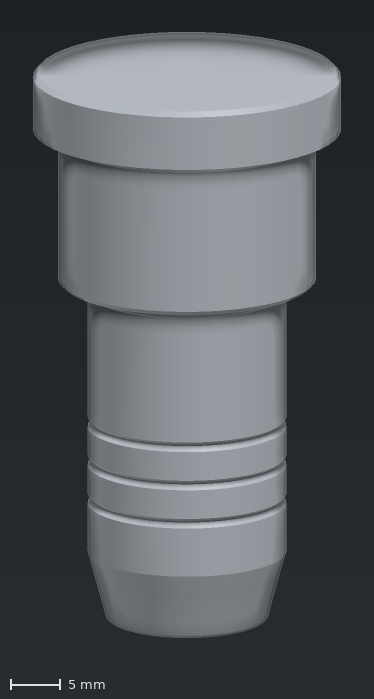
import cadquery as cq
import math

total_height = 57.0
edge_break = 0.5

head_radius = 31.0 / 2
head_height = 6.0

body_radius = 26.0 / 2
body_height = 16.0

neck_height = 1.0

shank_radius = 20.0 / 2
neck_radius = shank_radius - edge_break
groove_count = 3
groove_pitch = 4.0
first_groove_depth_from_top = 36.5
taper_height = 7.0
taper_angle = math.radians(15)
tip_radius = shank_radius - taper_height * math.tan(taper_angle)

head_bottom = total_height - head_height
body_bottom = head_bottom - body_height
neck_bottom = body_bottom - neck_height
first_groove_z = total_height - first_groove_depth_from_top


def cylinder(radius, bottom, top):
    return cq.Workplane("XY").workplane(offset=bottom).circle(radius).extrude(top - bottom)


def v_groove(radius, center_z):
    """Ring that cuts a 90 degree V-groove into a cylinder of the given radius."""
    profile = [
        (radius, center_z - edge_break),
        (radius - edge_break, center_z),
        (radius, center_z + edge_break),
    ]
    return cq.Workplane("XZ").polyline(profile).close().revolve(360, (0, 0, 0), (0, 1, 0))


def make_head():
    return cylinder(head_radius, head_bottom, total_height).faces(">Z").chamfer(edge_break)


def make_body():
    body = cylinder(body_radius, body_bottom, head_bottom)
    body = body.faces("<Z").chamfer(edge_break)
    return body.cut(v_groove(body_radius, head_bottom - edge_break))


def make_shank():
    shank = cylinder(shank_radius, taper_height, neck_bottom)
    for index in range(groove_count):
        shank = shank.cut(v_groove(shank_radius, first_groove_z - index * groove_pitch))
    return shank


def make_tip():
    tip = (
        cq.Workplane("XY")
        .circle(tip_radius)
        .workplane(offset=taper_height)
        .circle(shank_radius)
        .loft(ruled=True)
    )
    return tip.faces("<Z").edges().fillet(edge_break)


neck = cylinder(neck_radius, neck_bottom, body_bottom)
result = make_head().union(make_body()).union(neck).union(make_shank()).union(make_tip())